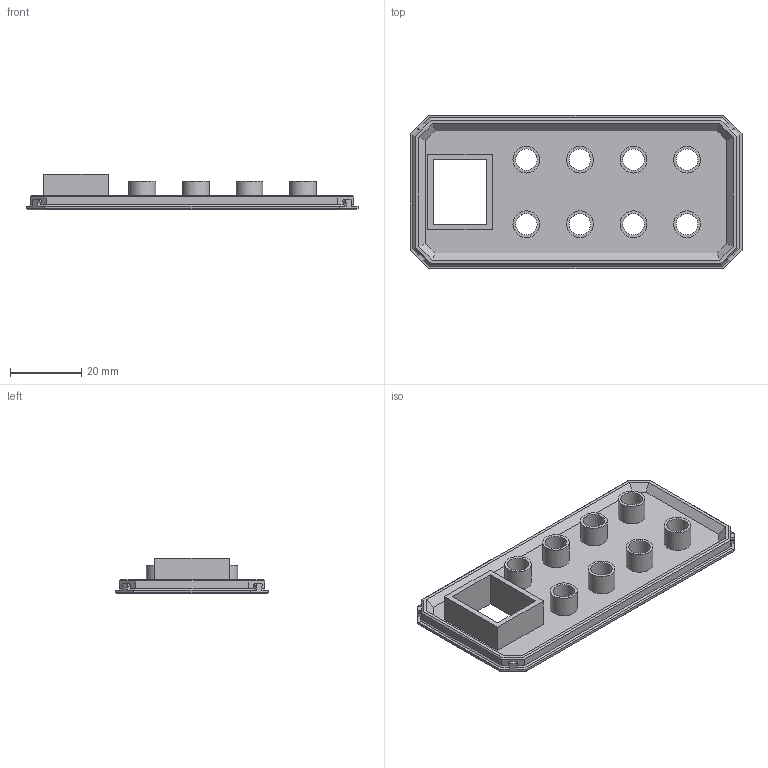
import cadquery as cq
import math

length = 93.0
width = 43.0
corner_clip = 5.25
flange_height = 1.0
flange_bevel = 0.3

rim_top = 4.0
rim_bevel = 0.4
rim_inset = 1.15
rim_thickness = 1.25
floor_level = 2.0
pan_slope_run = 1.95

tab_width = 2.0
tab_flare = 0.2
tab_flare_start = 2.0
tab_top = 2.85
tab_bevel = 0.25

window_x = -32.5
window_length = 15.0
window_width = 18.0
frame_wall = 1.5
frame_top = 10.0

post_outer_diameter = 7.5
post_bore_diameter = 6.0
post_top = 8.0
post_columns = 4
post_first_x = -13.9
post_pitch_x = 15.0
post_pitch_y = 18.1


def clipped_outline(plane, inset):
    """Closed outline of the flange, moved inward evenly by the inset."""
    half_x = length / 2 - inset
    half_y = width / 2 - inset
    clip = corner_clip - inset * (2 - math.sqrt(2))
    corners = [
        (half_x, half_y - clip),
        (half_x - clip, half_y),
        (clip - half_x, half_y),
        (-half_x, half_y - clip),
        (-half_x, clip - half_y),
        (clip - half_x, -half_y),
        (half_x - clip, -half_y),
        (half_x, clip - half_y),
    ]
    return plane.polyline(corners).close()


def layer(bottom, top, bottom_inset, top_inset):
    """Slab between two levels, with sides that are upright or evenly sloped."""
    lower = clipped_outline(cq.Workplane("XY").workplane(offset=bottom), bottom_inset)
    if bottom_inset == top_inset:
        return lower.extrude(top - bottom)
    upper = clipped_outline(lower.workplane(offset=top - bottom), top_inset)
    return upper.loft(ruled=True, combine=True)


def make_lid():
    """Flange and bevelled rim, hollowed by a pan with sloping sides."""
    rim_foot_top = flange_height + rim_bevel
    rim_shoulder = rim_top - rim_bevel
    pan_top_inset = rim_inset + rim_thickness
    lid = layer(0, flange_bevel, flange_bevel, 0)
    lid = lid.union(layer(flange_bevel, flange_height, 0, 0))
    lid = lid.union(layer(flange_height, rim_foot_top, rim_inset - rim_bevel, rim_inset))
    lid = lid.union(layer(rim_foot_top, rim_shoulder, rim_inset, rim_inset))
    lid = lid.union(layer(rim_shoulder, rim_top, rim_inset, rim_inset + rim_bevel))
    return lid.cut(layer(floor_level, rim_top, pan_top_inset + pan_slope_run, pan_top_inset))


def snap_tab(sign_x, sign_y):
    """Tab with a flared, bevelled head, flush with one clipped corner of the flange."""
    half_stem = tab_width / 2
    half_head = half_stem + tab_flare
    half_top = half_head - tab_bevel
    outward = cq.Vector(sign_x, sign_y, 0)
    face_centre = cq.Vector(
        sign_x * (length - corner_clip) / 2,
        sign_y * (width - corner_clip) / 2,
        0,
    )
    along_edge = cq.Vector(-sign_y, sign_x, 0)
    profile = [
        (-half_stem, flange_bevel),
        (half_stem, flange_bevel),
        (half_stem, tab_flare_start),
        (half_head, tab_top - tab_bevel),
        (half_top, tab_top),
        (-half_top, tab_top),
        (-half_head, tab_top - tab_bevel),
        (-half_stem, tab_flare_start),
    ]
    plane = cq.Plane(origin=face_centre, xDir=along_edge, normal=outward)
    tab_depth = rim_inset + rim_thickness / 2
    return cq.Workplane(plane).polyline(profile).close().extrude(-tab_depth)


def add_window(body):
    """Raised rectangular frame around a window through the floor."""
    frame = (
        cq.Workplane("XY")
        .workplane(offset=floor_level)
        .center(window_x, 0)
        .rect(window_length + 2 * frame_wall, window_width + 2 * frame_wall)
        .extrude(frame_top - floor_level)
    )
    opening = (
        cq.Workplane("XY")
        .center(window_x, 0)
        .rect(window_length, window_width)
        .extrude(frame_top)
    )
    return body.union(frame).cut(opening)


def add_posts(body):
    """Two rows of tubular posts, bored through the floor."""
    centres = []
    for column in range(post_columns):
        for side in (-1, 1):
            centres.append((post_first_x + column * post_pitch_x, side * post_pitch_y / 2))
    posts = (
        cq.Workplane("XY")
        .workplane(offset=floor_level)
        .pushPoints(centres)
        .circle(post_outer_diameter / 2)
        .extrude(post_top - floor_level)
    )
    bores = (
        cq.Workplane("XY")
        .pushPoints(centres)
        .circle(post_bore_diameter / 2)
        .extrude(post_top)
    )
    return body.union(posts).cut(bores)


body = make_lid()
for side_x in (-1, 1):
    for side_y in (-1, 1):
        body = body.union(snap_tab(side_x, side_y))
body = add_window(body)
result = add_posts(body)